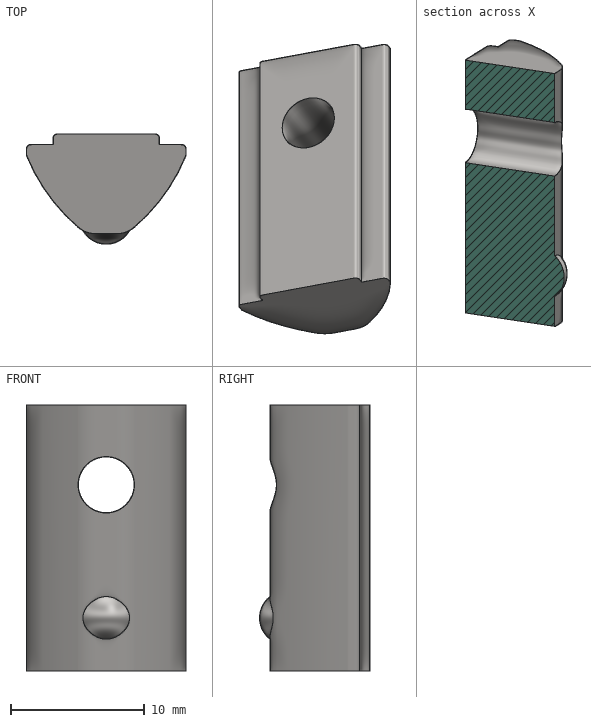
import cadquery as cq

length = 20.0
width = 12.0
half_width = width / 2
body_depth = 7.5
tongue_width = 8.0
tongue_half_width = tongue_width / 2
tongue_height = 0.8
rim_end_depth = 1.62
nose_half_width = 1.52
flank_radius = 14.0
corner_radius = 0.35
nose_radius = 2.0

hole_diameter = 4.2
hole_height = 14.0
ball_radius = 2.0
ball_height = 4.0
ball_protrusion = 0.8


def round_edges(body, radius, places):
    """Round the edges along Z that pass through the given (x, y) places, on both sides of X = 0."""
    for x, y in places:
        for side in (-1, 1):
            nearest = cq.selectors.NearestToPointSelector((side * x, y, length / 2))
            body = body.edges("|Z").edges(nearest).fillet(radius)
    return body


def make_body():
    rim_corner = (half_width, -tongue_height)
    tongue_corner = (tongue_half_width, 0)
    rim_end = (half_width, -rim_end_depth)
    nose_corner = (nose_half_width, -body_depth)
    body = (
        cq.Workplane("XY")
        .moveTo(-tongue_half_width, 0)
        .lineTo(*tongue_corner)
        .lineTo(tongue_half_width, -tongue_height)
        .lineTo(*rim_corner)
        .lineTo(*rim_end)
        .radiusArc(nose_corner, flank_radius)
        .lineTo(-nose_half_width, -body_depth)
        .radiusArc((-half_width, -rim_end_depth), flank_radius)
        .lineTo(-half_width, -tongue_height)
        .lineTo(-tongue_half_width, -tongue_height)
        .close()
        .extrude(length)
    )
    body = round_edges(body, corner_radius, [tongue_corner, rim_corner, rim_end])
    return round_edges(body, nose_radius, [nose_corner])


def make_hole():
    return (
        cq.Workplane("XZ")
        .center(0, hole_height)
        .circle(hole_diameter / 2)
        .extrude(body_depth)
    )


def make_ball():
    ball_y = ball_radius - ball_protrusion - body_depth
    return cq.Workplane("XY").sphere(ball_radius).translate((0, ball_y, ball_height))


result = make_body().cut(make_hole()).union(make_ball())